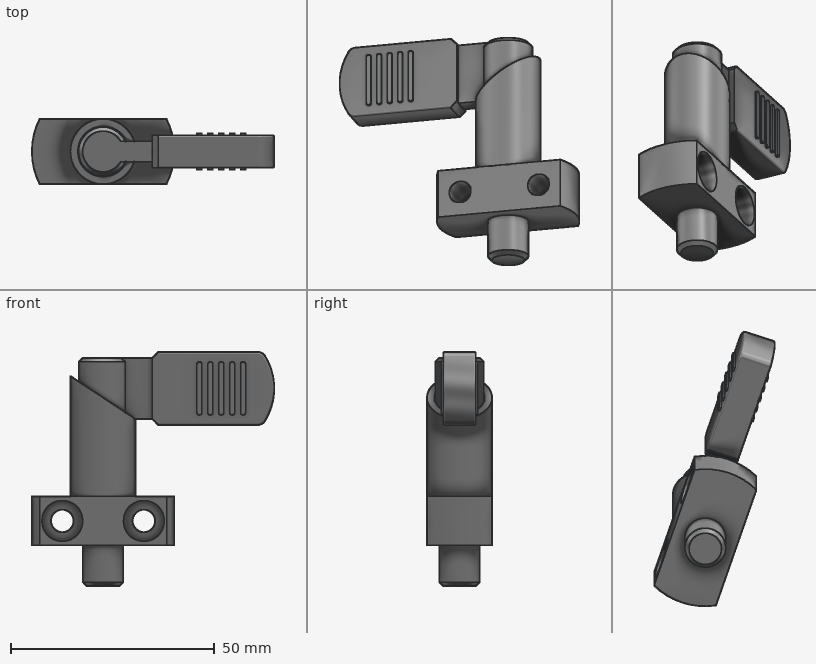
import cadquery as cq
import math


plate_end_radius = 17.5
plate_depth = 16.0
plate_bottom = 10.0
plate_height = 12.0
plate_top = plate_bottom + plate_height
screw_spacing = 20.0
screw_hole_diameter = 5.5
counterbore_diameter = 10.0
counterbore_depth = 5.5

sleeve_diameter = plate_depth
sleeve_high_side = 51.5
sleeve_low_side = 41.0
bore_diameter = 12.4

bolt_tip_diameter = 10.0
bolt_head_diameter = 12.0
bolt_top = 56.0
bolt_chamfer = 1.0

arm_width = 5.0
arm_bottom = sleeve_low_side
arm_height = bolt_top - arm_bottom
lever_middle = (bolt_top + arm_bottom) / 2

grip_start = 12.0
grip_end = 42.0
grip_height = 17.95
grip_width = 8.05
grip_end_radius = 15.0
grip_corner_radius = 2.15
grip_edge_radius = 0.5
grip_chamfer = 1.55

rib_count = 5
rib_pitch = 2.7
rib_width = 1.25
rib_length = 13.05
rib_rise = 0.5
rib_middle = 29.0


def make_plate():
    """Bar with ends rounded about the bolt axis and two counterbored screw holes."""
    base = cq.Workplane("XY").workplane(offset=plate_bottom)
    disc = base.circle(plate_end_radius).extrude(plate_height)
    bar = base.rect(2 * plate_end_radius, plate_depth).extrude(plate_height)
    return (
        disc.intersect(bar)
        .faces("<Y")
        .workplane(origin=(0, 0, plate_bottom + plate_height / 2))
        .pushPoints([(-screw_spacing / 2, 0), (screw_spacing / 2, 0)])
        .cboreHole(screw_hole_diameter, counterbore_diameter, counterbore_depth)
    )


def make_sleeve():
    """Tube standing on the plate, its upper end cut off by a slanted plane."""
    radius = sleeve_diameter / 2
    slanted_side = (
        cq.Workplane("XZ")
        .polyline([
            (-radius, plate_top),
            (radius, plate_top),
            (radius, sleeve_low_side),
            (-radius, sleeve_high_side),
        ])
        .close()
        .extrude(radius, both=True)
    )
    tube = (
        cq.Workplane("XY")
        .workplane(offset=plate_top)
        .circle(radius)
        .circle(bore_diameter / 2)
        .extrude(sleeve_high_side - plate_top)
    )
    return tube.intersect(slanted_side)


def make_bolt():
    """Stepped bolt: narrow tip below the plate, wider head through the sleeve."""
    tip = (
        cq.Workplane("XY")
        .circle(bolt_tip_diameter / 2)
        .extrude(plate_top)
        .faces("<Z")
        .chamfer(bolt_chamfer)
    )
    head = (
        cq.Workplane("XY")
        .workplane(offset=plate_top)
        .circle(bolt_head_diameter / 2)
        .extrude(bolt_top - plate_top)
        .faces(">Z")
        .chamfer(bolt_chamfer)
    )
    return tip.union(head)


def make_arm():
    """Flat bar from the bolt axis to the grip."""
    return cq.Workplane("XY").box(
        grip_start, arm_width, arm_height, centered=(False, True, False)
    ).translate((0, 0, arm_bottom))


def make_grip():
    """Grip block with a bowed outer end, rounded edges and a chamfered inner end."""
    half_height = grip_height / 2
    bow_centre = grip_end - grip_end_radius
    bow_corner = bow_centre + math.sqrt(grip_end_radius**2 - half_height**2)
    block = (
        cq.Workplane("XZ")
        .moveTo(grip_start, -half_height)
        .lineTo(bow_corner, -half_height)
        .threePointArc((grip_end, 0), (bow_corner, half_height))
        .lineTo(grip_start, half_height)
        .close()
        .extrude(grip_width / 2, both=True)
        .edges("|Y and (not <X)")
        .fillet(grip_corner_radius)
    )
    rounded = block.faces("<Y or >Y").edges("not <X").fillet(grip_edge_radius)
    envelope = (
        cq.Workplane("XY")
        .box(grip_end - grip_start, grip_width, grip_height, centered=(False, True, True))
        .translate((grip_start, 0, 0))
        .edges("|Y and <X")
        .chamfer(grip_chamfer)
    )
    return rounded.intersect(envelope).translate((0, 0, lever_middle))


def make_ribs():
    """Row of upright round-ended ribs standing out from both faces of the grip."""
    return (
        cq.Workplane("XZ", origin=(rib_middle, 0, lever_middle))
        .rarray(rib_pitch, 0.6, rib_count, 1)
        .slot2D(rib_length, rib_width, 90)
        .extrude(grip_width / 2 + rib_rise, both=True)
    )


result = (
    make_plate()
    .union(make_sleeve())
    .union(make_bolt())
    .union(make_arm())
    .union(make_grip())
    .union(make_ribs())
)